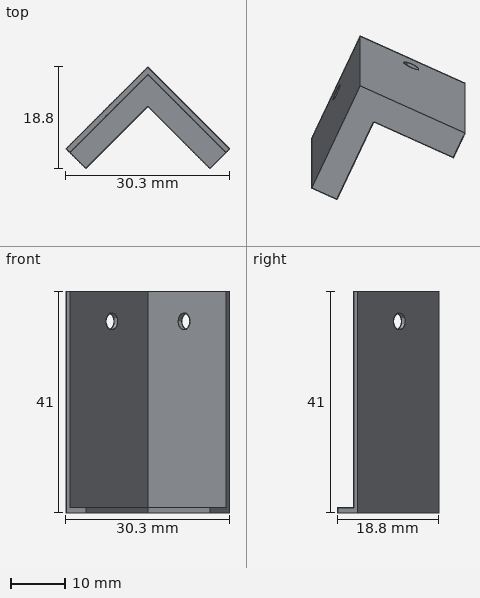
import cadquery as cq

height = 41.0
leg_length = 21.4
thickness = 1.0
flange_width = 5.15
hole_diameter = 3.05
hole_from_corner = 10.4
hole_from_top = 5.55

turn_angle = -135


def angle_section(width, section_height):
    """Extrude an L section whose outer corner is at the origin."""
    return (
        cq.Workplane("XY")
        .moveTo(0, 0)
        .lineTo(leg_length, 0)
        .lineTo(leg_length, width)
        .lineTo(width, width)
        .lineTo(width, leg_length)
        .lineTo(0, leg_length)
        .close()
        .extrude(section_height)
    )


def hole_cutter(position, direction):
    """Make a cylinder that passes through one wall."""
    return cq.Workplane(
        cq.Solid.makeCylinder(hole_diameter / 2, thickness, cq.Vector(*position), cq.Vector(*direction))
    )


walls = angle_section(thickness, height)
flange = angle_section(flange_width, thickness)
bracket = walls.union(flange)

hole_height = height - hole_from_top
bracket = bracket.cut(hole_cutter((hole_from_corner, 0, hole_height), (0, 1, 0)))
bracket = bracket.cut(hole_cutter((0, hole_from_corner, hole_height), (1, 0, 0)))

result = bracket.rotate((0, 0, 0), (0, 0, 1), turn_angle)